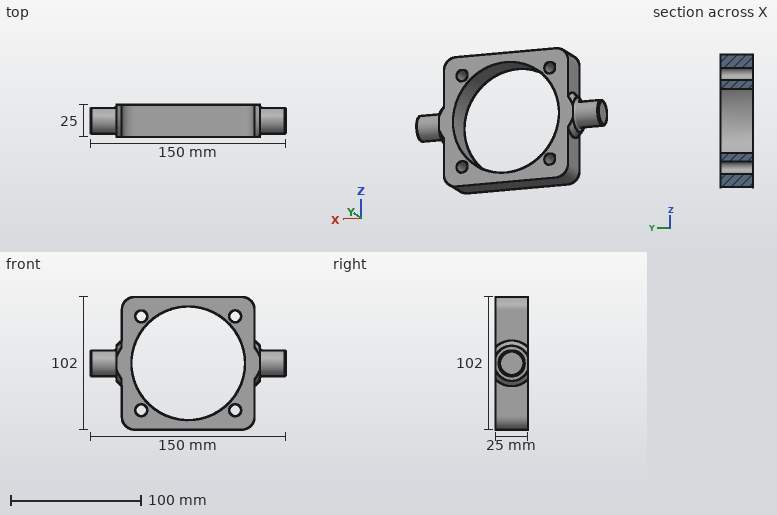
import cadquery as cq

frame_side = 102.0
frame_depth = 25.0
corner_radius = 10.0
bore_diameter = 87.0

bolt_hole_diameter = 9.0
bolt_hole_spacing = 72.0

pin_span = 150.0
pin_diameter = 20.0
pin_chamfer = 1.0
pin_root_radius = 1.5

boss_height = 4.0
boss_tip_radius = 13.5
boss_base_radius = boss_tip_radius + boss_height

frame_half = frame_side / 2
pin_tip_x = pin_span / 2
pin_radius = pin_diameter / 2
boss_face_x = frame_half + boss_height
trunnion_start_x = (bore_diameter / 2 + frame_half) / 2


def front_plane():
    """Workplane on the -Y face of the frame; negative extrusions run towards +Y."""
    return cq.Workplane("XZ", origin=(0, -frame_depth / 2, 0))


def make_frame():
    """Square block with rounded corners."""
    return (
        front_plane()
        .rect(frame_side, frame_side)
        .extrude(-frame_depth)
        .edges("|Y")
        .fillet(corner_radius)
    )


def make_trunnion():
    """Boss and pin on the +X side, revolved about X and trimmed to the frame depth."""
    root_centre_x = boss_face_x + pin_root_radius
    root_centre_radius = pin_radius + pin_root_radius
    diagonal = pin_root_radius * 0.5 ** 0.5
    root_middle = (root_centre_x - diagonal, root_centre_radius - diagonal)
    turned = (
        cq.Workplane("XY")
        .moveTo(trunnion_start_x, 0)
        .lineTo(trunnion_start_x, boss_base_radius)
        .lineTo(frame_half, boss_base_radius)
        .lineTo(boss_face_x, boss_tip_radius)
        .lineTo(boss_face_x, root_centre_radius)
        .threePointArc(root_middle, (root_centre_x, pin_radius))
        .lineTo(pin_tip_x - pin_chamfer, pin_radius)
        .lineTo(pin_tip_x, pin_radius - pin_chamfer)
        .lineTo(pin_tip_x, 0)
        .close()
        .revolve(360, (0, 0, 0), (1, 0, 0))
    )
    depth_limit = cq.Workplane("XY").box(pin_span, frame_depth, frame_side)
    return turned.intersect(depth_limit)


def make_bore():
    """Cutter for the central through bore."""
    return front_plane().circle(bore_diameter / 2).extrude(-frame_depth)


def make_bolt_holes():
    """Cutters for the four through bolt holes."""
    return (
        front_plane()
        .rect(bolt_hole_spacing, bolt_hole_spacing, forConstruction=True)
        .vertices()
        .circle(bolt_hole_diameter / 2)
        .extrude(-frame_depth)
    )


trunnion = make_trunnion()
body = make_frame().union(trunnion).union(trunnion.mirror("YZ"))
result = body.cut(make_bore()).cut(make_bolt_holes())